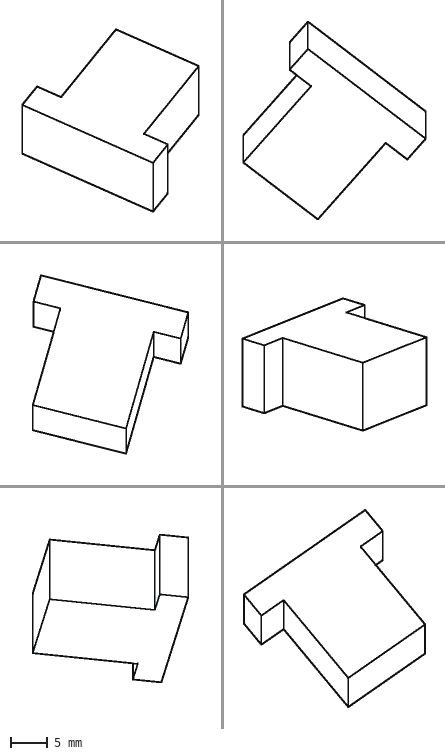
import cadquery as cq

height = 10.0
flange_width = 21.0
flange_thickness = 4.0
stem_width = 13.3
total_depth = 18.7

stem_depth = total_depth - flange_thickness


def block(width, depth, front_y):
    """Full-height block centred on X, running back from front_y."""
    return (
        cq.Workplane("XY")
        .box(width, depth, height, centered=(True, False, False))
        .translate((0, front_y, 0))
    )


flange = block(flange_width, flange_thickness, 0)
stem = block(stem_width, stem_depth, flange_thickness)

result = flange.union(stem)